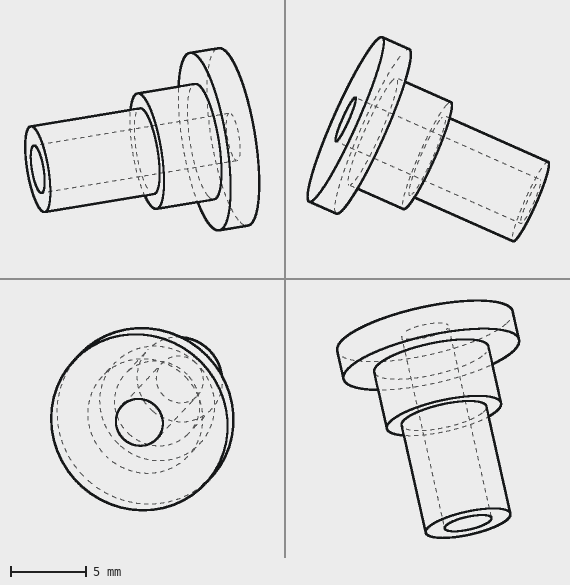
import cadquery as cq

total_length = 13.6
flange_diameter = 12.0
flange_thickness = 2.0
shoulder_diameter = 7.8
shoulder_length = 4.0
stem_diameter = 5.8
bore_diameter = 3.2

stem_length = total_length - flange_thickness - shoulder_length
flange_start = stem_length + shoulder_length


def cylinder_along_y(diameter, start, length):
    """Solid cylinder on the Y axis, running from start towards +Y."""
    return cq.Workplane("XZ", origin=(0, start, 0)).circle(diameter / 2).extrude(-length)


stem = cylinder_along_y(stem_diameter, 0, stem_length)
shoulder = cylinder_along_y(shoulder_diameter, stem_length, shoulder_length)
flange = cylinder_along_y(flange_diameter, flange_start, flange_thickness)

bore = cylinder_along_y(bore_diameter, 0, total_length)

result = stem.union(shoulder).union(flange).cut(bore)